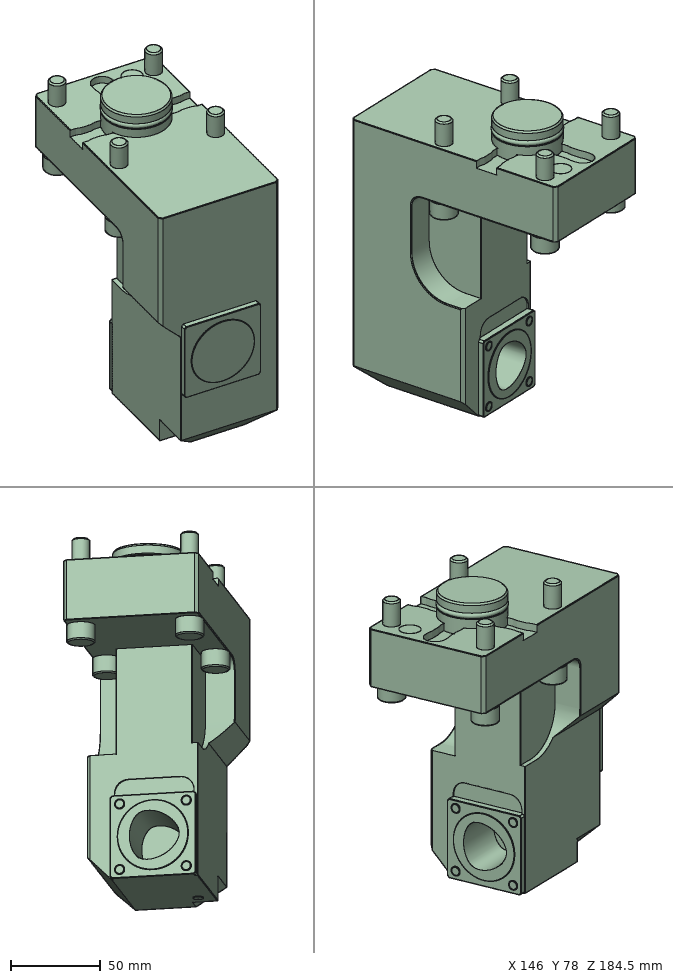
import cadquery as cq
import math

PLATE_LEFT = -48.0
BODY_RIGHT = 94.0
PLATE_HALF_WIDTH = 38.5
PLATE_THICKNESS = 35.0
CORNER_CHAMFER = 2.0
EDGE_CHAMFER = 0.4
SELECT_MARGIN = 0.1

COLUMN_LEFT = 16.0
COLUMN_BOTTOM = -169.0
COLUMN_FRONT = -25.0
BOTTOM_CHAMFER = 14.5
FRONT_CHAMFER_LEFT = 70.0
OVERHANG_BOTTOM = -71.0

WEB_HALF_WIDTH = 21.8
POCKET_RIGHT = 52.0
POCKET_TOP_RADIUS = 7.0
POCKET_BOTTOM_RADIUS = 25.0
FRONT_POCKET_BOTTOM = -92.0
REAR_POCKET_BOTTOM = -96.0

SPIGOT_DIAMETER = 40.0
SPIGOT_HEIGHT = 15.0
SPIGOT_CHAMFER_WIDTH = 0.8
SPIGOT_CHAMFER_HEIGHT = 1.2
GROOVE_DIAMETER = 35.2
GROOVE_BOTTOM = 5.4
GROOVE_TOP = 9.2
SEAL_OUTER_DIAMETER = 40.6
SEAL_SECTION_DIAMETER = 3.2

SLOT_DEPTH = 4.5
SLOT_HALF_WIDTH = 7.0
SLOT_CROWN = 0.8
SLOT_WAIST_REACH = 3.0
SLOT_CROWN_REACH = 6.0
SLOT_INNER = 19.0
BLIND_SLOT_FLANK_END = -38.5
BLIND_SLOT_HALF_WIDTH = 6.6
BLIND_SLOT_CROWN = 0.5

PORT_X = -36.3
PORT_Y = 18.0
PORT_DIAMETER = 12.4
PORT_DEPTH = 0.1

SCREW_X = 35.0
SCREW_Y = 31.0
SHANK_DIAMETER = 10.0
SHANK_CHAMFER = 1.0
HEAD_DIAMETER = 16.0
HEAD_HEIGHT = 10.0
HEAD_CHAMFER = 0.75

FLANGE_WIDTH = 49.0
FLANGE_HEIGHT = 48.0
FLANGE_THICKNESS = 3.5
FLANGE_CHAMFER = 1.2
DISC_DIAMETER = 40.6
DISC_THICKNESS = 4.0
DISC_CHAMFER = 0.3
LEFT_FLANGE_Z = COLUMN_BOTTOM + FLANGE_HEIGHT / 2
RIGHT_FLANGE_Z = -100.0
FLANGE_SCREW_PITCH = 38.0
FLANGE_SCREW_DIAMETER = 5.7
FLANGE_SCREW_CHAMFER = 0.5

RECESS_HALF_WIDTH = 22.7
RECESS_TOP = -111.0
RECESS_RADIUS = 8.0
RECESS_DEPTH = 1.0

BORE_RADIUS = 14.2
BORE_LOBE = 0.9
BORE_DEPTH = 30.0
BORE_TAPER = 1 / 20
BORE_POINTS = 36

PLUG_X = 60.5
PLUG_Y = -15.7
PLUG_DIAMETER = 5.7
PLUG_HEIGHT = 0.54


def block(x_range, y_range, z_range):
    """Box between the given limits."""
    size = [limits[1] - limits[0] for limits in (x_range, y_range, z_range)]
    corner = (x_range[0], y_range[0], z_range[0])
    return cq.Workplane("XY").box(*size, centered=False).translate(corner)


def cylinder_z(x, y, z, diameter, height):
    """Upright cylinder with its lower face at z."""
    return cq.Workplane("XY", origin=(x, y, z)).circle(diameter / 2).extrude(height)


def prism_along_x(yz_points, x_start, x_end):
    """Prism with a polygonal YZ section."""
    section = cq.Workplane("YZ", origin=(x_start, 0, 0)).polyline(yz_points).close()
    return section.extrude(x_end - x_start)


def make_body():
    """Plate and column with their chamfered corners and sloped faces."""
    half = PLATE_HALF_WIDTH
    plate = block((PLATE_LEFT, BODY_RIGHT), (-half, half), (-PLATE_THICKNESS, 0))
    column = block((COLUMN_LEFT, BODY_RIGHT), (-half, half), (COLUMN_BOTTOM, -PLATE_THICKNESS))
    column = column.edges("|Z and <X and >Y").chamfer(CORNER_CHAMFER)
    envelope = block((PLATE_LEFT, BODY_RIGHT), (-half, half), (COLUMN_BOTTOM, 0))
    envelope = envelope.edges("|Z").chamfer(CORNER_CHAMFER)
    envelope = envelope.faces(">Z").chamfer(EDGE_CHAMFER)
    body = plate.union(column).intersect(envelope)

    step = COLUMN_FRONT + half
    front_cut = [
        (-half, OVERHANG_BOTTOM),
        (COLUMN_FRONT, OVERHANG_BOTTOM - step),
        (COLUMN_FRONT, COLUMN_BOTTOM),
        (-half, COLUMN_BOTTOM),
    ]
    body = body.cut(prism_along_x(front_cut, COLUMN_LEFT, BODY_RIGHT))

    chamfer_top = COLUMN_BOTTOM + BOTTOM_CHAMFER
    rear_cut = [
        (half, chamfer_top),
        (half - BOTTOM_CHAMFER, COLUMN_BOTTOM),
        (half, COLUMN_BOTTOM),
    ]
    body = body.cut(prism_along_x(rear_cut, COLUMN_LEFT, BODY_RIGHT))
    front_corner = [
        (COLUMN_FRONT, chamfer_top),
        (COLUMN_FRONT + BOTTOM_CHAMFER, COLUMN_BOTTOM),
        (COLUMN_FRONT, COLUMN_BOTTOM),
    ]
    body = body.cut(prism_along_x(front_corner, FRONT_CHAMFER_LEFT, BODY_RIGHT))
    right_corner = [
        (BODY_RIGHT, chamfer_top),
        (BODY_RIGHT - BOTTOM_CHAMFER, COLUMN_BOTTOM),
        (BODY_RIGHT, COLUMN_BOTTOM),
    ]
    right_cut = cq.Workplane("XZ").polyline(right_corner).close().extrude(half, both=True)
    return body.cut(right_cut)


def make_pocket(bottom, y_start, y_end):
    """Side pocket open to the left, rounded at its two right corners."""
    top = -PLATE_THICKNESS
    pocket = block((COLUMN_LEFT, POCKET_RIGHT), (y_start, y_end), (bottom, top))
    pocket = pocket.edges("|Y and >X and >Z").fillet(POCKET_TOP_RADIUS)
    return pocket.edges("|Y and >X and <Z").fillet(POCKET_BOTTOM_RADIUS)


def break_edges(body, x_range, y_range, z_range):
    """Chamfer the edges whose centres lie within the limits, widened by a small margin."""
    limits = (x_range, y_range, z_range)
    lower = [low - SELECT_MARGIN for low, _ in limits]
    upper = [high + SELECT_MARGIN for _, high in limits]
    return body.edges(cq.selectors.BoxSelector(lower, upper)).chamfer(EDGE_CHAMFER)


def break_body_edges(body):
    """Small chamfers under the plate, around the pockets and along the column."""
    half = PLATE_HALF_WIDTH
    web = WEB_HALF_WIDTH
    underside = -PLATE_THICKNESS
    underside_level = (underside, underside)
    left_face = (COLUMN_LEFT, COLUMN_LEFT)
    right_face = (BODY_RIGHT, BODY_RIGHT)
    front_face = (COLUMN_FRONT, COLUMN_FRONT)
    bottom_level = (COLUMN_BOTTOM, COLUMN_BOTTOM)

    body = break_edges(body, (PLATE_LEFT, 0), (-half, half), underside_level)
    rim_range = (COLUMN_LEFT + CORNER_CHAMFER + 2 * SELECT_MARGIN, POCKET_RIGHT)
    body = break_edges(body, rim_range, (-half, -half), (OVERHANG_BOTTOM, underside))
    body = break_edges(body, rim_range, (half, half), (REAR_POCKET_BOTTOM, underside))
    web_edge_range = (REAR_POCKET_BOTTOM, underside - 2 * SELECT_MARGIN)
    body = break_edges(body, left_face, (-web, web), web_edge_range)
    body = break_edges(body, left_face, front_face, (COLUMN_BOTTOM, FRONT_POCKET_BOTTOM))
    body = break_edges(body, right_face, front_face, (COLUMN_BOTTOM, OVERHANG_BOTTOM))
    return break_edges(body, (COLUMN_LEFT, FRONT_CHAMFER_LEFT), front_face, bottom_level)


def crowned_slot(start, end, half_width, crown):
    """Slot along +X with straight flank ends and a narrower waist at mid length."""
    middle = (start + end) / 2
    waist = half_width - crown
    flank = [
        (start, half_width),
        (middle - SLOT_CROWN_REACH, half_width),
        (middle - SLOT_WAIST_REACH, waist),
        (middle + SLOT_WAIST_REACH, waist),
        (middle + SLOT_CROWN_REACH, half_width),
        (end, half_width),
    ]
    opposite_flank = [(x, -y) for x, y in reversed(flank)]
    outline = cq.Workplane("XY", origin=(0, 0, -SLOT_DEPTH)).polyline(flank + opposite_flank).close()
    return outline.extrude(SLOT_DEPTH)


def make_slots():
    """Two open slots across the plate and one blind slot toward its left end."""
    through = crowned_slot(SLOT_INNER, PLATE_HALF_WIDTH, SLOT_HALF_WIDTH, SLOT_CROWN)
    slots = through.rotate((0, 0, 0), (0, 0, 1), 90)
    slots = slots.union(through.rotate((0, 0, 0), (0, 0, 1), -90))
    blind = crowned_slot(BLIND_SLOT_FLANK_END, -SLOT_INNER, BLIND_SLOT_HALF_WIDTH, BLIND_SLOT_CROWN)
    rounded_end = cylinder_z(
        BLIND_SLOT_FLANK_END, 0, -SLOT_DEPTH, 2 * BLIND_SLOT_HALF_WIDTH, SLOT_DEPTH
    )
    return slots.union(blind).union(rounded_end)


def make_spigot():
    """Grooved spigot with its seal ring, starting at the slot floor."""
    radius = SPIGOT_DIAMETER / 2
    groove_radius = GROOVE_DIAMETER / 2
    profile = [
        (0, -SLOT_DEPTH),
        (radius, -SLOT_DEPTH),
        (radius, GROOVE_BOTTOM),
        (groove_radius, GROOVE_BOTTOM),
        (groove_radius, GROOVE_TOP),
        (radius, GROOVE_TOP),
        (radius, SPIGOT_HEIGHT - SPIGOT_CHAMFER_HEIGHT),
        (radius - SPIGOT_CHAMFER_WIDTH, SPIGOT_HEIGHT),
        (0, SPIGOT_HEIGHT),
    ]
    spigot = cq.Workplane("XZ").polyline(profile).close().revolve(360, (0, 0), (0, 1))
    section_radius = SEAL_SECTION_DIAMETER / 2
    seal_x = SEAL_OUTER_DIAMETER / 2 - section_radius
    seal_z = GROOVE_BOTTOM + section_radius
    seal = (
        cq.Workplane("XZ", origin=(seal_x, 0, seal_z))
        .circle(section_radius)
        .revolve(360, (-seal_x, 0), (-seal_x, 1))
    )
    return spigot.union(seal)


def make_screw(x, y):
    """Screw through the plate: chamfered tip above and cylindrical head below."""
    head = cylinder_z(x, y, -PLATE_THICKNESS - HEAD_HEIGHT, HEAD_DIAMETER, HEAD_HEIGHT)
    head = head.faces("<Z").chamfer(HEAD_CHAMFER)
    shank_length = PLATE_THICKNESS + SPIGOT_HEIGHT
    shank = cylinder_z(x, y, -PLATE_THICKNESS, SHANK_DIAMETER, shank_length)
    shank = shank.faces(">Z").chamfer(SHANK_CHAMFER)
    return head.union(shank)


def make_flange(face_x, center_z, direction, root=0.0):
    """Square flange and disc on a column face, growing along X by direction."""
    plane = cq.Workplane("YZ", origin=(face_x - direction * root, 0, center_z))
    flange = plane.rect(FLANGE_WIDTH, FLANGE_HEIGHT).extrude(direction * (root + FLANGE_THICKNESS))
    flange = flange.edges("|X").chamfer(FLANGE_CHAMFER)
    outer_face = ">X" if direction > 0 else "<X"
    flange = flange.faces(outer_face).chamfer(EDGE_CHAMFER)
    disc = plane.circle(DISC_DIAMETER / 2).extrude(direction * (root + DISC_THICKNESS))
    disc = disc.faces(outer_face).chamfer(DISC_CHAMFER)
    return flange.union(disc)


def make_recess():
    """Shallow recess in the left column face, rounded at its upper corners."""
    recess = block(
        (COLUMN_LEFT, COLUMN_LEFT + RECESS_DEPTH),
        (-RECESS_HALF_WIDTH, RECESS_HALF_WIDTH),
        (LEFT_FLANGE_Z, RECESS_TOP),
    )
    return recess.edges("|X and >Z").fillet(RECESS_RADIUS)


def lobed_points(radius):
    """Points on a closed three-lobed curve with one lobe toward -Y."""
    points = []
    for index in range(BORE_POINTS):
        angle = 2 * math.pi * index / BORE_POINTS
        reach = radius * math.cos(angle) + BORE_LOBE * (2 * math.cos(2 * angle) - math.cos(4 * angle))
        side = radius * math.sin(angle) - BORE_LOBE * (2 * math.sin(2 * angle) + math.sin(4 * angle))
        points.append((-reach, side))
    return points


def make_bore():
    """Lobed bore that narrows away from the left disc face."""
    mouth_x = COLUMN_LEFT - DISC_THICKNESS
    floor_radius = BORE_RADIUS - BORE_DEPTH * BORE_TAPER / 2
    return (
        cq.Workplane("YZ", origin=(mouth_x, 0, LEFT_FLANGE_Z))
        .spline(lobed_points(BORE_RADIUS), periodic=True)
        .close()
        .workplane(offset=BORE_DEPTH)
        .spline(lobed_points(floor_radius), periodic=True)
        .close()
        .loft()
    )


def make_flange_screw_groove(y, z):
    """Ring-shaped gap around the chamfered head of a flush flange screw."""
    face_x = COLUMN_LEFT - FLANGE_THICKNESS
    radius = FLANGE_SCREW_DIAMETER / 2
    profile = [
        (face_x, radius),
        (face_x, radius - FLANGE_SCREW_CHAMFER),
        (face_x + FLANGE_SCREW_CHAMFER, radius),
    ]
    ring = cq.Workplane("XY").polyline(profile).close().revolve(360, (0, 0), (1, 0))
    return ring.translate((0, y, z))


body = make_body()
body = body.cut(make_pocket(FRONT_POCKET_BOTTOM, -PLATE_HALF_WIDTH, -WEB_HALF_WIDTH))
body = body.cut(make_pocket(REAR_POCKET_BOTTOM, WEB_HALF_WIDTH, PLATE_HALF_WIDTH))
body = break_body_edges(body)
body = body.cut(make_slots())
body = body.cut(cylinder_z(PORT_X, PORT_Y, -PORT_DEPTH, PORT_DIAMETER, PORT_DEPTH))
body = body.union(make_spigot())

for screw_x in (-SCREW_X, SCREW_X):
    for screw_y in (-SCREW_Y, SCREW_Y):
        body = body.union(make_screw(screw_x, screw_y))

body = body.cut(make_recess())
body = body.union(make_flange(COLUMN_LEFT, LEFT_FLANGE_Z, -1, RECESS_DEPTH))
body = body.union(make_flange(BODY_RIGHT, RIGHT_FLANGE_Z, 1))
body = body.cut(make_bore())

screw_offset = FLANGE_SCREW_PITCH / 2
for offset_y in (-screw_offset, screw_offset):
    for offset_z in (-screw_offset, screw_offset):
        body = body.cut(make_flange_screw_groove(offset_y, LEFT_FLANGE_Z + offset_z))

plug_bottom = COLUMN_BOTTOM - PLUG_HEIGHT
body = body.union(cylinder_z(PLUG_X, PLUG_Y, plug_bottom, PLUG_DIAMETER, PLUG_HEIGHT))

result = body